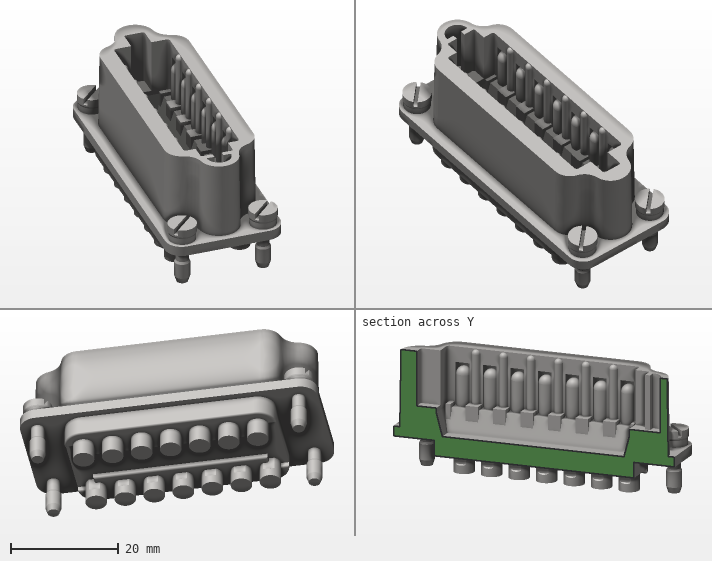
import cadquery as cq
import math


flange_length = 56.3
flange_width = 22.8
flange_thickness = 2.0
flange_corner_radius = 3.25

shell_height = 15.0
shell_half_width = 9.05
shell_half_length = 26.9
shell_draft = 0.9
shoulder_x = 17.45
shoulder_radius = 3.7
lobe_radius = 4.05
waist_radius = 3.3

cavity_x_min = -19.5
cavity_x_max = 19.0
cavity_half_width = 5.5
cavity_corner_radius = 0.55
cavity_floor_z = -1.0
end_slope_tilt = 15.0
side_slope_tilt = 17.5
floor_x_min = -18.3
floor_x_max = 17.95
floor_half_width = 2.5

shelf_x_min = -18.95
shelf_x_max = 18.65
shelf_edge_y = 3.95
block_edge_y = 3.27
block_gap = 3.0
block_top_z = 4.4

notch_floor_z = block_top_z
left_notch_x = -23.4
left_notch_half_width = 2.0
right_notch_x = 21.9
right_notch_half_width = 3.2
notch_corner_radius = 0.4
neck_half_width = 0.9
key_flat_x = 22.9
key_radius = 2.4

contact_count = 7
contact_pitch = 5.5
contact_y = 6.4
contact_diameter = 3.0
contact_tip_z = 11.2
bore_diameter = 3.3
bore_top_z = 12.0
rod_diameter = 1.7
rod_y = 5.6
rod_tip_z = 14.85

base_length = 40.0
base_width = 20.0
base_corner_radius = 3.5
base_depth = 4.0
base_edge_radius = 0.4
base_recess_depth = 1.0
base_channel_half_width = 3.3

cup_diameter = 4.0
cup_depth = 7.3
cup_flat_y = 4.7
cup_flat_depth = 5.45
cup_flat_end_depth = 5.7

screw_spacing_x = 49.45
screw_center_x = 0.17
screw_y = 8.0
head_diameter = 5.5
head_top_z = 3.2
head_bottom_z = 1.65
collar_diameter = 5.2
collar_top_z = 1.3
shank_diameter = 2.5
thread_diameter = 3.0
tip_diameter = 2.2
shank_depth = 2.6
thread_start_depth = 3.05
thread_end_depth = 6.1
screw_depth = 7.3
driver_slot_width = 0.8
driver_slot_depth = 1.2
driver_slot_angle = -45.0

flange_bottom_z = -flange_thickness
lobe_center_x = shell_half_length - lobe_radius
base_bottom_z = flange_bottom_z - base_depth
row_sides = (1, -1)
contact_xs = [(i - (contact_count - 1) / 2) * contact_pitch for i in range(contact_count)]
screw_xs = [screw_center_x + end * screw_spacing_x / 2 for end in (-1, 1)]
rod_xs = [x + contact_pitch / 2 for x in contact_xs[:-1]]


def box(x_min, x_max, y_min, y_max, z_min, z_max):
    """Box given by its limits along each axis."""
    size = (x_max - x_min, y_max - y_min, z_max - z_min)
    return cq.Workplane("XY").box(*size, centered=False).translate((x_min, y_min, z_min))


def row_box(side, x_min, x_max, y_inner, y_outer, z_min, z_max):
    """Box on the +Y or -Y side, with Y given as a distance from the middle."""
    y_min, y_max = sorted((side * y_inner, side * y_outer))
    return box(x_min, x_max, y_min, y_max, z_min, z_max)


def cylinder(x, y, diameter, z_min, z_max):
    return cq.Workplane("XY", origin=(x, y, z_min)).circle(diameter / 2).extrude(z_max - z_min)


def make_flange():
    flange = cq.Workplane("XY").rect(flange_length, flange_width).extrude(-flange_thickness)
    return flange.edges("|Z").fillet(flange_corner_radius)


def circle_point(center, radius, angle):
    return (center[0] + radius * math.cos(angle), center[1] + radius * math.sin(angle))


def make_shell():
    """Drafted shell: long straight sides, and an end lobe joined to each shoulder by a concave waist."""
    shoulder = (shoulder_x, shell_half_width - shoulder_radius)
    lobe = (lobe_center_x, 0)

    to_shoulder = shoulder_radius + waist_radius
    to_lobe = lobe_radius + waist_radius
    span = math.hypot(lobe[0] - shoulder[0], lobe[1] - shoulder[1])
    span_angle = math.atan2(lobe[1] - shoulder[1], lobe[0] - shoulder[0])
    corner = math.acos((to_shoulder**2 + span**2 - to_lobe**2) / (2 * to_shoulder * span))
    shoulder_angle = span_angle + corner
    waist = circle_point(shoulder, to_shoulder, shoulder_angle)
    lobe_angle = math.atan2(waist[1] - lobe[1], waist[0] - lobe[0])

    shoulder_start = (shoulder_x, shell_half_width)
    shoulder_mid = circle_point(shoulder, shoulder_radius, (math.pi / 2 + shoulder_angle) / 2)
    shoulder_end = circle_point(shoulder, shoulder_radius, shoulder_angle)
    waist_mid = circle_point(waist, waist_radius, (shoulder_angle + lobe_angle) / 2 + math.pi)
    waist_end = circle_point(lobe, lobe_radius, lobe_angle)
    lobe_mid = (shell_half_length, 0)

    def place(point, x_sign, y_sign):
        """Point of the +X, +Y quarter, mirrored into another quarter."""
        return (x_sign * point[0], y_sign * point[1])

    outline = cq.Workplane("XY").moveTo(*place(shoulder_start, -1, 1))
    for x_sign in (1, -1):
        outline = (
            outline.lineTo(*place(shoulder_start, x_sign, x_sign))
            .threePointArc(place(shoulder_mid, x_sign, x_sign), place(shoulder_end, x_sign, x_sign))
            .threePointArc(place(waist_mid, x_sign, x_sign), place(waist_end, x_sign, x_sign))
            .threePointArc(place(lobe_mid, x_sign, x_sign), place(waist_end, x_sign, -x_sign))
            .threePointArc(place(waist_mid, x_sign, -x_sign), place(shoulder_end, x_sign, -x_sign))
            .threePointArc(place(shoulder_mid, x_sign, -x_sign), place(shoulder_start, x_sign, -x_sign))
        )
    return outline.close().extrude(shell_height, taper=shell_draft)


def slope_rise(run, tilt):
    """Height gained by a slope over a horizontal run, for a tilt measured from vertical."""
    return run / math.tan(math.radians(tilt))


def make_cavity():
    """Main opening of the shell, with steep slopes at both ends of its floor."""
    cavity = box(cavity_x_min, cavity_x_max, -cavity_half_width, cavity_half_width,
                 cavity_floor_z, shell_height)
    cavity = cavity.edges("|Z").fillet(cavity_corner_radius)
    for wall_x, floor_x in ((cavity_x_min, floor_x_min), (cavity_x_max, floor_x_max)):
        slope = (
            cq.Workplane("XZ", origin=(0, cavity_half_width, 0))
            .moveTo(floor_x, cavity_floor_z)
            .lineTo(wall_x, cavity_floor_z)
            .lineTo(wall_x, cavity_floor_z + slope_rise(abs(wall_x - floor_x), end_slope_tilt))
            .close()
            .extrude(2 * cavity_half_width)
        )
        cavity = cavity.cut(slope)
    return cavity


def make_left_notch():
    notch = box(left_notch_x, cavity_x_min, -left_notch_half_width, left_notch_half_width,
                notch_floor_z, shell_height)
    return notch.edges("|Z and <X").fillet(notch_corner_radius)


def make_right_notch():
    """Rectangular notch that opens through a narrow neck into a D-shaped key hole."""
    notch = box(cavity_x_max, right_notch_x, -right_notch_half_width, right_notch_half_width,
                notch_floor_z, shell_height)
    notch = notch.edges("|Z and >X").fillet(notch_corner_radius)
    neck = box(right_notch_x, key_flat_x, -neck_half_width, neck_half_width, notch_floor_z, shell_height)
    key = cylinder(lobe_center_x, 0, 2 * key_radius, notch_floor_z, shell_height)
    key = key.intersect(box(key_flat_x, shell_half_length, -key_radius, key_radius,
                            notch_floor_z, shell_height))
    return notch.union(neck).union(key)


def shelf_z():
    """Height at which the side slope of the floor reaches the shelf edge."""
    return cavity_floor_z + slope_rise(shelf_edge_y - floor_half_width, side_slope_tilt)


def make_shelf(side):
    """Sloped shelf along one long wall, with blocks standing between the contacts."""
    shelf = (
        cq.Workplane("YZ", origin=(shelf_x_min, 0, 0))
        .moveTo(side * floor_half_width, cavity_floor_z)
        .lineTo(side * shelf_edge_y, shelf_z())
        .lineTo(side * cavity_half_width, shelf_z())
        .lineTo(side * cavity_half_width, cavity_floor_z)
        .close()
        .extrude(shelf_x_max - shelf_x_min)
    )
    gap_edges = [x + end * block_gap / 2 for x in contact_xs for end in (-1, 1)]
    block_edges = [shelf_x_min] + gap_edges + [shelf_x_max]
    block_bottom_z = cavity_floor_z + slope_rise(block_edge_y - floor_half_width, side_slope_tilt)
    for x_min, x_max in zip(block_edges[0::2], block_edges[1::2]):
        block = row_box(side, x_min, x_max, block_edge_y, cavity_half_width, block_bottom_z, block_top_z)
        shelf = shelf.union(block)
    return shelf


def make_contact_bore(x, side):
    """Round clearance around a contact, breaking through the cavity wall."""
    return cylinder(x, side * contact_y, bore_diameter, shelf_z(), bore_top_z)


def make_round_pin(x, y, diameter, z_min, tip_z):
    """Upright pin with a hemispherical tip."""
    radius = diameter / 2
    pin = cylinder(x, y, diameter, z_min, tip_z - radius)
    return pin.union(cq.Workplane("XY").sphere(radius).translate((x, y, tip_z - radius)))


def make_base():
    """Base block whose underside is recessed along the middle and at both ends."""
    base = (
        cq.Workplane("XY", origin=(0, 0, flange_bottom_z))
        .rect(base_length, base_width)
        .extrude(-base_depth)
        .edges("|Z")
        .fillet(base_corner_radius)
    )
    half_length = base_length / 2
    end_half_width = base_width / 2 - base_corner_radius
    end_x = half_length - base_corner_radius
    recess_top_z = base_bottom_z + base_recess_depth
    base = base.cut(box(-half_length, half_length, -base_channel_half_width, base_channel_half_width,
                        base_bottom_z, recess_top_z))
    for x_min, x_max in ((-half_length, -end_x), (end_x, half_length)):
        base = base.cut(box(x_min, x_max, -end_half_width, end_half_width, base_bottom_z, recess_top_z))
    return base.faces("<Z").fillet(base_edge_radius)


def make_solder_cup(x, side):
    """Round cup with a shallow flat on the side that faces the middle of the part."""
    bottom_z = flange_bottom_z - cup_depth
    cup = cylinder(x, side * contact_y, cup_diameter, bottom_z, flange_bottom_z)
    inner_y = contact_y - cup_diameter / 2
    flat = (
        cq.Workplane("YZ", origin=(x - cup_diameter / 2, 0, 0))
        .moveTo(side * inner_y, flange_bottom_z)
        .lineTo(side * cup_flat_y, flange_bottom_z)
        .lineTo(side * cup_flat_y, flange_bottom_z - cup_flat_depth)
        .lineTo(side * inner_y, flange_bottom_z - cup_flat_end_depth)
        .close()
        .extrude(cup_diameter)
    )
    return cup.cut(flat)


def make_screw(x, y):
    """Slotted captive screw, turned from a single profile."""
    profile = [
        (0, head_top_z),
        (head_diameter / 2, head_top_z),
        (head_diameter / 2, head_bottom_z),
        (collar_diameter / 2, collar_top_z),
        (collar_diameter / 2, 0),
        (shank_diameter / 2, 0),
        (shank_diameter / 2, flange_bottom_z - shank_depth),
        (thread_diameter / 2, flange_bottom_z - thread_start_depth),
        (thread_diameter / 2, flange_bottom_z - thread_end_depth),
        (tip_diameter / 2, flange_bottom_z - screw_depth),
        (0, flange_bottom_z - screw_depth),
    ]
    screw = cq.Workplane("XZ").polyline(profile).close().revolve(360, (0, 0, 0), (0, 1, 0))
    driver_slot = (
        cq.Workplane("XY", origin=(0, 0, head_top_z))
        .rect(2 * head_diameter, driver_slot_width)
        .extrude(-driver_slot_depth)
        .rotate((0, 0, 0), (0, 0, 1), driver_slot_angle)
    )
    return screw.cut(driver_slot).translate((x, y, 0))


housing = make_flange().union(make_shell()).union(make_base())
housing = housing.cut(make_cavity()).cut(make_left_notch()).cut(make_right_notch())

for side in row_sides:
    housing = housing.union(make_shelf(side))
    for x in contact_xs:
        housing = housing.cut(make_contact_bore(x, side))
        housing = housing.union(
            make_round_pin(x, side * contact_y, contact_diameter, flange_bottom_z, contact_tip_z))
        housing = housing.union(make_solder_cup(x, side))
    for x in rod_xs:
        housing = housing.union(
            make_round_pin(x, side * rod_y, rod_diameter, cavity_floor_z, rod_tip_z))

for x in screw_xs:
    for y in (-screw_y, screw_y):
        housing = housing.union(make_screw(x, y))

result = housing